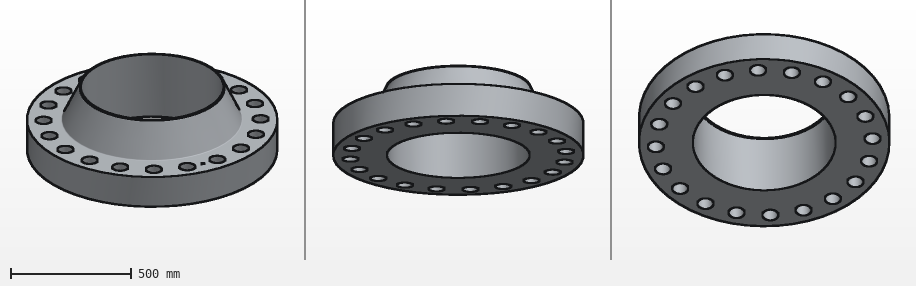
import cadquery as cq
import math

flange_diameter = 1041.0
flange_thickness = 140.0

total_height = 293.0
hub_base_diameter = 749.0
hub_top_diameter = 610.0
hub_base_fillet = 5.0
bore_diameter = 593.0
bevel_height = 6.0
root_face_height = 3.0
root_face_diameter = 602.0

bolt_count = 20
bolt_hole_diameter = 67.0
bolt_circle_diameter = 902.0

small_hole_diameter = 11.0
small_hole_depth = small_hole_diameter
small_hole_angle = 360 / bolt_count / 2


def make_body():
    """Revolve the half section of the disc, tapered hub, weld bevel and bore."""
    bore_radius = bore_diameter / 2
    flange_radius = flange_diameter / 2
    root_face_radius = root_face_diameter / 2
    root_face_bottom = total_height - root_face_height
    half_section = (
        cq.Workplane("XZ")
        .moveTo(bore_radius, 0)
        .lineTo(flange_radius, 0)
        .lineTo(flange_radius, flange_thickness)
        .lineTo(hub_base_diameter / 2, flange_thickness)
        .lineTo(hub_top_diameter / 2, root_face_bottom - bevel_height)
        .lineTo(root_face_radius, root_face_bottom)
        .lineTo(root_face_radius, total_height)
        .lineTo(bore_radius, total_height)
        .close()
    )
    return half_section.revolve(360, (0, 0, 0), (0, 1, 0))


def round_hub_base(body):
    """Fillet the corner where the hub meets the top face of the disc."""
    hub_base_edge = cq.selectors.RadiusNthSelector(-2)
    return body.edges(hub_base_edge).fillet(hub_base_fillet)


def make_bolt_holes():
    """Ring of through-hole cutters, the first one on the +X axis."""
    return (
        cq.Workplane("XY")
        .polarArray(bolt_circle_diameter / 2, 0, 360, bolt_count)
        .circle(bolt_hole_diameter / 2)
        .extrude(flange_thickness)
    )


def make_small_hole():
    """Cutter for the small blind hole, sunk from the top face of the disc."""
    radius = bolt_circle_diameter / 2
    angle = math.radians(small_hole_angle)
    return (
        cq.Workplane("XY", origin=(0, 0, flange_thickness))
        .center(radius * math.cos(angle), radius * math.sin(angle))
        .circle(small_hole_diameter / 2)
        .extrude(-small_hole_depth)
    )


result = round_hub_base(make_body()).cut(make_bolt_holes()).cut(make_small_hole())